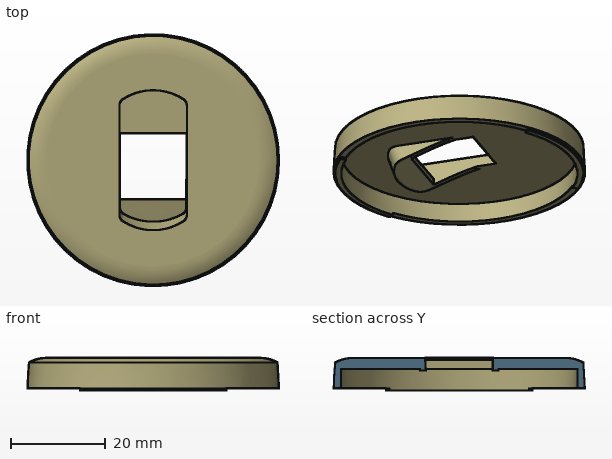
import cadquery as cq
import math

base_radius = 26.6
shoulder_radius = 26.3
flat_radius = 22.5
cap_height = 6.5
crown_drop = 1.0
shoulder_height = cap_height - crown_drop
wall = 1.3
plate_thickness = 2.4

tab_outer_radius = 26.25
tab_inner_radius = tab_outer_radius - wall
tab_height = 0.5
tab_half_angle = 36.2

recess_half_width = 7.15
recess_half_length = 14.8
recess_end_radius = 11.7
recess_corner_radius = 1.6
side_draft = 2.0
front_lean = 19.0

floor_points = [(14.8, 0.25), (5.65, 0.55), (-2.15, 1.95), (-8.25, 3.9), (-13.0, 5.2)]
floor_start_slope = 0.02
floor_end_slope = 0.25
floor_margin = 5.3

window_front = -8.25
window_back = 5.65


def make_cap():
    """Revolve the outer profile and hollow it out from below."""
    crown_radius = ((shoulder_radius - flat_radius) ** 2 + crown_drop**2) / (2 * crown_drop)
    body = (
        cq.Workplane("XZ")
        .lineTo(base_radius, 0)
        .lineTo(shoulder_radius, shoulder_height)
        .radiusArc((flat_radius, cap_height), -crown_radius)
        .lineTo(0, cap_height)
        .close()
        .revolve(360, (0, 0, 0), (0, 1, 0))
    )
    hollow = cq.Workplane("XY").circle(tab_inner_radius).extrude(cap_height - plate_thickness)
    return body.cut(hollow)


def make_tab(side):
    """Ring segment centred on the +Y (side = 1) or -Y (side = -1) axis."""

    def at(radius, angle):
        return (radius * math.sin(math.radians(angle)), side * radius * math.cos(math.radians(angle)))

    overlap = 0.55
    return (
        cq.Workplane("XY")
        .workplane(offset=-tab_height)
        .moveTo(*at(tab_outer_radius, -tab_half_angle))
        .threePointArc(at(tab_outer_radius, 0), at(tab_outer_radius, tab_half_angle))
        .lineTo(*at(tab_inner_radius, tab_half_angle))
        .threePointArc(at(tab_inner_radius, 0), at(tab_inner_radius, -tab_half_angle))
        .close()
        .extrude(tab_height + overlap)
    )


def recess_outline(depth, offset):
    """Closed outline of the recess at a depth below the top face, grown by offset."""
    side_taper = depth * math.tan(math.radians(side_draft))
    half_width = recess_half_width - side_taper + offset
    back = recess_half_length - side_taper + offset
    front = -recess_half_length + depth * math.tan(math.radians(front_lean)) - offset
    end_radius = recess_end_radius + offset
    sagitta = end_radius - math.sqrt(end_radius**2 - half_width**2)
    outline = (
        cq.Sketch()
        .segment((half_width, front + sagitta), (half_width, back - sagitta))
        .arc((half_width, back - sagitta), (0, back), (-half_width, back - sagitta))
        .segment((-half_width, back - sagitta), (-half_width, front + sagitta))
        .arc((-half_width, front + sagitta), (0, front), (half_width, front + sagitta))
        .assemble()
        .vertices()
        .fillet(recess_corner_radius + offset)
    )
    return outline.moved(cq.Location(cq.Vector(0, 0, cap_height - depth)))


def make_shaft(offset=0.0):
    """Tapered recess column running through the full cap height."""
    outlines = (recess_outline(0, offset), recess_outline(cap_height, offset))
    return cq.Workplane("XY").placeSketch(*outlines).loft(ruled=True)


def above_floor(drop=0.0):
    """Everything above the recess floor, with the floor lowered by drop."""
    curve = [(y, cap_height - depth - drop) for y, depth in floor_points]
    back_y, back_z = curve[0]
    front_y, front_z = curve[-1]
    front_limit = front_y - floor_margin
    back_limit = back_y + floor_margin
    ceiling = cap_height + floor_margin
    half_span = recess_half_width + floor_margin
    return (
        cq.Workplane("YZ")
        .workplane(offset=-half_span)
        .moveTo(back_limit, back_z)
        .lineTo(back_y, back_z)
        .spline(
            curve[1:],
            tangents=[(-1, -floor_start_slope), (-1, -floor_end_slope)],
            includeCurrent=True,
        )
        .lineTo(front_limit, front_z - floor_end_slope * floor_margin)
        .lineTo(front_limit, ceiling)
        .lineTo(back_limit, ceiling)
        .close()
        .extrude(2 * half_span)
    )


def make_window():
    """Opening through the floor, bounded sideways by the recess walls."""
    slab = (
        cq.Workplane("XY")
        .center(0, (window_front + window_back) / 2)
        .rect(2 * base_radius, window_back - window_front)
        .extrude(cap_height)
    )
    return make_shaft().intersect(slab)


housing = make_shaft(wall).intersect(above_floor(wall))
recess = make_shaft().intersect(above_floor())

result = make_cap().union(housing).cut(recess).cut(make_window())
for side in (1, -1):
    result = result.union(make_tab(side))